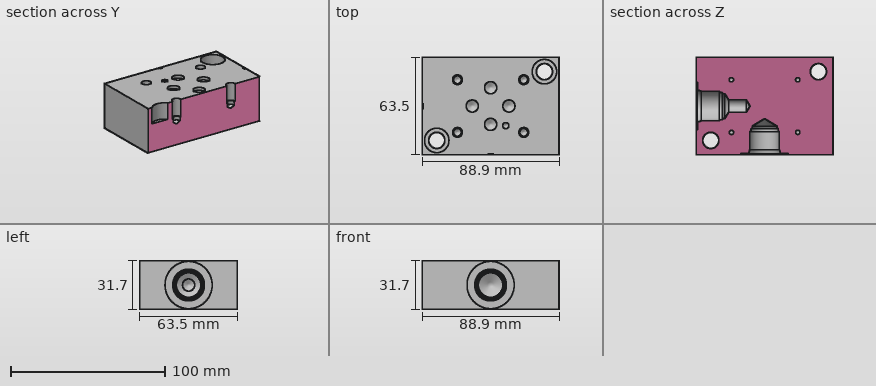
import cadquery as cq
import math

LENGTH = 88.9
WIDTH = 63.5
HEIGHT = 31.7

POINT_ANGLE = 118.0
POINT_SLOPE = 1 / math.tan(math.radians(POINT_ANGLE / 2))

SPOTFACE_DIA = 30.7
SPOTFACE_DEPTH = 0.8
TAPER_MOUTH_DIA = 20.6
TAPER_END_DIA = 19.3
TAPER_LENGTH = 2.5
THREAD_DIA = 19.0
THREAD_DEPTH = 15.1
TAP_DRILL_DIA = 17.5
TAP_DRILL_DEPTH = 16.9
FEED_DIA = 15.9
FEED_DEPTH = 18.7

PASSAGE_DIA = 7.9
PASSAGE_DEPTH = 2.1
PASSAGE_OFFSET = 11.9
PASSAGE_COUNT = 4

CROSS_DRILL_DEPTH = LENGTH / 2 - PASSAGE_OFFSET

PIN_DIA = 4.0
PIN_DEPTH = 1.1
PIN_X = 9.9
PIN_Y = -12.7

SCREW_DIA = 6.3
SCREW_DEPTH = 12.45
SCREW_DRILL_DIA = 5.1
SCREW_DRILL_DEPTH = 15.1
SCREW_X = 21.5
SCREW_Y = 17.1

BOLT_DIA = 10.3
COUNTERBORE_DIA = 15.9
COUNTERBORE_DEPTH = 11.6
BOLT_X = 34.9
BOLT_Y = 22.3


def revolved_cutter(profile):
    """Solid of revolution about Z from (radius, depth) points, running down from z = 0."""
    outline = [(radius, -depth) for radius, depth in profile]
    start = (0, -profile[0][1])
    return cq.Workplane("XZ").polyline([start] + outline).close().revolve(360, (0, 0), (0, 1))


def drill_end(diameter, depth):
    """Profile points of a drilled hole's full-diameter end and its conical point."""
    radius = diameter / 2
    return [(radius, depth), (0, depth + radius * POINT_SLOPE)]


def drilled_hole(diameter, depth):
    return revolved_cutter([(diameter / 2, 0)] + drill_end(diameter, depth))


def tapped_hole():
    """Thread bore with a smaller tap drill continuing below it."""
    profile = [
        (SCREW_DIA / 2, 0),
        (SCREW_DIA / 2, SCREW_DEPTH),
        (SCREW_DRILL_DIA / 2, SCREW_DEPTH),
    ]
    return revolved_cutter(profile + drill_end(SCREW_DRILL_DIA, SCREW_DRILL_DEPTH))


def port():
    """Threaded port with a spotface, a sealing taper and a drilled bottom."""
    taper_end_depth = SPOTFACE_DEPTH + TAPER_LENGTH
    tap_point_length = (TAP_DRILL_DIA - FEED_DIA) / 2 * POINT_SLOPE
    profile = [
        (SPOTFACE_DIA / 2, 0),
        (SPOTFACE_DIA / 2, SPOTFACE_DEPTH),
        (TAPER_MOUTH_DIA / 2, SPOTFACE_DEPTH),
        (TAPER_END_DIA / 2, taper_end_depth),
        (THREAD_DIA / 2, taper_end_depth),
        (THREAD_DIA / 2, THREAD_DEPTH),
        (TAP_DRILL_DIA / 2, THREAD_DEPTH),
        (TAP_DRILL_DIA / 2, TAP_DRILL_DEPTH),
        (FEED_DIA / 2, TAP_DRILL_DEPTH + tap_point_length),
    ]
    return revolved_cutter(profile + drill_end(FEED_DIA, FEED_DEPTH))


def bolt_hole():
    profile = [
        (COUNTERBORE_DIA / 2, 0),
        (COUNTERBORE_DIA / 2, COUNTERBORE_DEPTH),
        (BOLT_DIA / 2, COUNTERBORE_DEPTH),
        (BOLT_DIA / 2, HEIGHT),
        (0, HEIGHT),
    ]
    return revolved_cutter(profile)


def on_top(cutter, x, y):
    return cutter.translate((x, y, HEIGHT / 2))


def on_front(cutter):
    """Turn a cutter to enter the centre of the -Y face."""
    return cutter.rotate((0, 0, 0), (1, 0, 0), 90).translate((0, -WIDTH / 2, 0))


def on_left(cutter):
    """Turn a cutter to enter the centre of the -X face."""
    return cutter.rotate((0, 0, 0), (0, 1, 0), -90).translate((-LENGTH / 2, 0, 0))


block = cq.Workplane("XY").box(LENGTH, WIDTH, HEIGHT)

block = block.cut(on_front(port()))
block = block.cut(on_left(port()))
block = block.cut(on_left(drilled_hole(PASSAGE_DIA, CROSS_DRILL_DEPTH)))

for index in range(PASSAGE_COUNT):
    angle = 2 * math.pi * index / PASSAGE_COUNT
    passage_x = PASSAGE_OFFSET * math.cos(angle)
    passage_y = PASSAGE_OFFSET * math.sin(angle)
    block = block.cut(on_top(drilled_hole(PASSAGE_DIA, PASSAGE_DEPTH), passage_x, passage_y))

block = block.cut(on_top(drilled_hole(PIN_DIA, PIN_DEPTH), PIN_X, PIN_Y))

for side_x in (-1, 1):
    for side_y in (-1, 1):
        block = block.cut(on_top(tapped_hole(), side_x * SCREW_X, side_y * SCREW_Y))

for corner in (-1, 1):
    block = block.cut(on_top(bolt_hole(), corner * BOLT_X, corner * BOLT_Y))

result = block